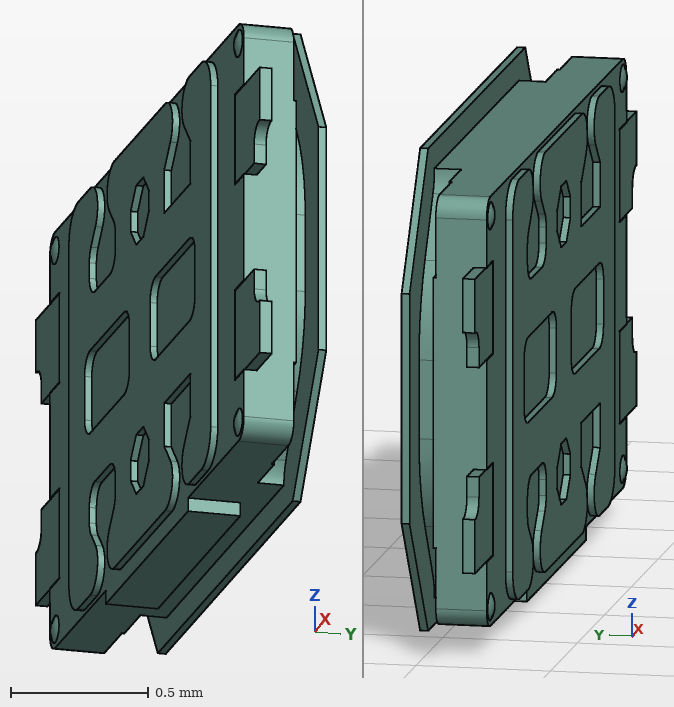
import cadquery as cq
import math

FOIL_FRONT = 0.0
BODY_FRONT = 0.027
TERMINAL_FRONT = 0.03
TERMINAL_BACK = 0.075
BODY_BACK = 0.225
PLATE_FRONT = 0.325
PLATE_BACK = 0.355
CONE_BACK = 0.425
BUTTON_BACK = 0.5

BODY_X = 2.598
BODY_Z = 1.602
BODY_CORNER_RADIUS = 0.072
LIP_X = 1.1
LIP_DROP = 0.05
RECESS_DEPTH = 0.01
RECESS_START_X = 1.002
RECESS_START_Z = 0.505

DOME_RADIUS = 0.05
DOME_HEIGHT = 0.015

OVERALL_X = 3.0
TERMINAL_INNER_X = 1.173
TERMINAL_INNER_Z = 0.205
TERMINAL_OUTER_Z = 0.55
TERMINAL_CUT_X = 0.075
TERMINAL_CUT_Z = 0.145
TERMINAL_CUT_RADIUS = 0.07

FOIL_X = 1.895
FOIL_Z = 1.565
FOIL_CORNER_RADIUS = 0.125
NOTCH_X = 0.5
NOTCH_HALF_WIDTH = 0.175
NECK_HALF_WIDTH = 0.063
NECK_RADIUS = 0.1
NOTCH_FLOOR_Z = 0.365
OPENING_RADIUS = 0.075
WINDOW_X = 0.438
WINDOW_WIDTH = 0.6
WINDOW_HEIGHT = 0.318
PORT_Z = 0.48
PORT_WIDTH = 0.245
PORT_HEIGHT = 0.228
PORT_CHAMFER = 0.075

SPACER_HALF_X = 1.07
SPACER_FLAT_Z = 0.147
SPACER_SIDE_RADIUS = 0.615
SPACER_SLOPE_ANGLE = math.radians(34.6)
SPACER_SLOPE_LENGTH = 0.265

PLATE_X = 2.495
PLATE_Z = 1.8
PLATE_END_Z = 0.858
PLATE_EDGE_X = 1.805

CONE_BASE_X = 1.885
CONE_BASE_Z = 1.482
CONE_TOP_RADIUS = 0.46
BUTTON_TOP_RADIUS = 0.345

SIDES = (-1, 1)


def sketch_at(y):
    """XZ workplane at depth y; a positive extrusion runs towards -Y."""
    return cq.Workplane("XZ", origin=(0, y, 0))


def rounded_block(width, height, radius, front, back):
    block = sketch_at(back).rect(width, height).extrude(back - front)
    return block.edges("|Y").fillet(radius)


def body():
    block = rounded_block(BODY_X, BODY_Z, BODY_CORNER_RADIUS, BODY_FRONT, BODY_BACK)
    lip = (
        sketch_at(BODY_BACK)
        .center(0, -BODY_Z / 4 - LIP_DROP / 2)
        .rect(LIP_X, BODY_Z / 2 + LIP_DROP)
        .extrude(BODY_BACK - BODY_FRONT)
    )
    recess_x = BODY_X / 2 - RECESS_START_X
    recess_z = BODY_Z / 2 - RECESS_START_Z
    recesses = (
        sketch_at(BODY_BACK)
        .rarray(BODY_X - recess_x, BODY_Z - recess_z, 2, 2)
        .rect(recess_x, recess_z)
        .extrude(RECESS_DEPTH)
    )
    return block.union(lip).cut(recesses)


def dome(x, z):
    """Shallow spherical cap standing on the front face of the body."""
    sphere_radius = (DOME_RADIUS**2 + DOME_HEIGHT**2) / (2 * DOME_HEIGHT)
    centre_y = BODY_FRONT - DOME_HEIGHT + sphere_radius
    ball = cq.Workplane("XY").sphere(sphere_radius).translate((x, centre_y, z))
    post = sketch_at(TERMINAL_BACK).center(x, z).circle(DOME_RADIUS).extrude(TERMINAL_BACK - FOIL_FRONT)
    return ball.intersect(post)


def terminal(side_x, side_z, front):
    """Flat tab with its outer corner nearest the middle notched away."""
    outer_x = OVERALL_X / 2
    cut_x = outer_x - TERMINAL_CUT_X
    cut_z = TERMINAL_INNER_Z + TERMINAL_CUT_Z
    outline = [
        (TERMINAL_INNER_X, TERMINAL_INNER_Z),
        (cut_x, TERMINAL_INNER_Z),
        (cut_x, cut_z),
        (outer_x, cut_z),
        (outer_x, TERMINAL_OUTER_Z),
        (TERMINAL_INNER_X, TERMINAL_OUTER_Z),
    ]
    tab = (
        sketch_at(TERMINAL_BACK)
        .polyline([(side_x * x, side_z * z) for x, z in outline])
        .close()
        .extrude(TERMINAL_BACK - front)
    )
    notch_corner = cq.selectors.NearestToPointSelector(
        (side_x * cut_x, (TERMINAL_BACK + front) / 2, side_z * cut_z)
    )
    return tab.edges(notch_corner).fillet(TERMINAL_CUT_RADIUS)


def foil_notch(side_x, side_z):
    """Bottle-shaped opening in the long edge of the foil; only the left ones have rounded corners."""
    edge_z = FOIL_Z / 2
    r = NECK_RADIUS
    mouth = NECK_HALF_WIDTH + r
    slope_x = mouth - r * math.cos(math.pi / 4)
    slope_z = edge_z - r - r * math.sin(math.pi / 4)
    shoulder_z = slope_z - (NOTCH_HALF_WIDTH - slope_x)
    notch = (
        cq.Workplane("XZ", origin=(side_x * NOTCH_X, BODY_FRONT, 0))
        .moveTo(-mouth, edge_z)
        .threePointArc((-NECK_HALF_WIDTH, edge_z - r), (-slope_x, slope_z))
        .lineTo(-NOTCH_HALF_WIDTH, shoulder_z)
        .lineTo(-NOTCH_HALF_WIDTH, NOTCH_FLOOR_Z)
        .lineTo(NOTCH_HALF_WIDTH, NOTCH_FLOOR_Z)
        .lineTo(NOTCH_HALF_WIDTH, shoulder_z)
        .lineTo(slope_x, slope_z)
        .threePointArc((NECK_HALF_WIDTH, edge_z - r), (mouth, edge_z))
        .close()
        .extrude(BODY_FRONT - FOIL_FRONT)
    )
    if side_x < 0:
        corners = cq.selectors.BoxSelector(
            (-OVERALL_X, FOIL_FRONT, 0),
            (OVERALL_X, BODY_FRONT, (shoulder_z + slope_z) / 2),
        )
        notch = notch.edges("|Y").edges(corners).fillet(OPENING_RADIUS)
    if side_z < 0:
        notch = notch.mirror("XY")
    return notch


def foil():
    sheet = rounded_block(FOIL_X, FOIL_Z, FOIL_CORNER_RADIUS, FOIL_FRONT, BODY_FRONT)
    for side in SIDES:
        window = rounded_block(WINDOW_WIDTH, WINDOW_HEIGHT, OPENING_RADIUS, FOIL_FRONT, BODY_FRONT)
        sheet = sheet.cut(window.translate((side * WINDOW_X, 0, 0)))
        port = sketch_at(BODY_FRONT).rect(PORT_WIDTH, PORT_HEIGHT).extrude(BODY_FRONT - FOIL_FRONT)
        port = port.edges("|Y").chamfer(PORT_CHAMFER)
        sheet = sheet.cut(port.translate((0, 0, side * PORT_Z)))
        for side_z in SIDES:
            sheet = sheet.cut(foil_notch(side, side_z))
    return sheet


def spacer():
    """Barrel-ended block: each end is a flat, an arc, a slope and a hollow flare up to the body edge."""
    sin_slope = math.sin(SPACER_SLOPE_ANGLE)
    cos_slope = math.cos(SPACER_SLOPE_ANGLE)
    half_angle = SPACER_SLOPE_ANGLE / 2
    arc_centre_x = SPACER_HALF_X - SPACER_SIDE_RADIUS
    arc_mid = (
        arc_centre_x + SPACER_SIDE_RADIUS * math.cos(half_angle),
        SPACER_FLAT_Z + SPACER_SIDE_RADIUS * math.sin(half_angle),
    )
    arc_end = (
        arc_centre_x + SPACER_SIDE_RADIUS * cos_slope,
        SPACER_FLAT_Z + SPACER_SIDE_RADIUS * sin_slope,
    )
    slope_end = (
        arc_end[0] - SPACER_SLOPE_LENGTH * sin_slope,
        arc_end[1] + SPACER_SLOPE_LENGTH * cos_slope,
    )
    edge_z = BODY_Z / 2
    flare_radius = (edge_z - slope_end[1]) / sin_slope
    flare_end = (slope_end[0] - flare_radius * (1 - cos_slope), edge_z)
    flare_mid = (
        flare_end[0] + flare_radius * (1 - math.cos(half_angle)),
        edge_z - flare_radius * math.sin(half_angle),
    )
    quarter = (
        sketch_at(PLATE_FRONT)
        .lineTo(SPACER_HALF_X, 0)
        .lineTo(SPACER_HALF_X, SPACER_FLAT_Z)
        .threePointArc(arc_mid, arc_end)
        .lineTo(*slope_end)
        .threePointArc(flare_mid, flare_end)
        .lineTo(0, edge_z)
        .close()
        .extrude(PLATE_FRONT - (BODY_BACK - RECESS_DEPTH))
    )
    half = quarter.union(quarter.mirror("XY"))
    return half.union(half.mirror("YZ"))


def plate():
    half_x = PLATE_X / 2
    half_z = PLATE_Z / 2
    outline = [
        (half_x, PLATE_END_Z / 2),
        (PLATE_EDGE_X / 2, half_z),
        (-PLATE_EDGE_X / 2, half_z),
        (-half_x, PLATE_END_Z / 2),
        (-half_x, -PLATE_END_Z / 2),
        (-PLATE_EDGE_X / 2, -half_z),
        (PLATE_EDGE_X / 2, -half_z),
        (half_x, -PLATE_END_Z / 2),
    ]
    return sketch_at(PLATE_BACK).polyline(outline).close().extrude(PLATE_BACK - PLATE_FRONT)


def cone():
    """Blends from an oval on the plate to the round foot of the button."""
    return (
        sketch_at(PLATE_BACK)
        .ellipse(CONE_BASE_X / 2, CONE_BASE_Z / 2)
        .workplane(offset=PLATE_BACK - CONE_BACK)
        .circle(CONE_TOP_RADIUS)
        .loft(ruled=True)
    )


def button():
    """Frustum with a flat back."""
    return (
        sketch_at(CONE_BACK)
        .circle(CONE_TOP_RADIUS)
        .workplane(offset=CONE_BACK - BUTTON_BACK)
        .circle(BUTTON_TOP_RADIUS)
        .loft(ruled=True)
    )


result = body().union(spacer()).union(plate()).union(cone()).union(button()).union(foil())
for side_x in SIDES:
    for side_z in SIDES:
        dome_x = side_x * (BODY_X / 2 - BODY_CORNER_RADIUS)
        dome_z = side_z * (BODY_Z / 2 - BODY_CORNER_RADIUS)
        result = result.union(dome(dome_x, dome_z))
        result = result.cut(terminal(side_x, side_z, FOIL_FRONT))
        result = result.union(terminal(side_x, side_z, TERMINAL_FRONT))